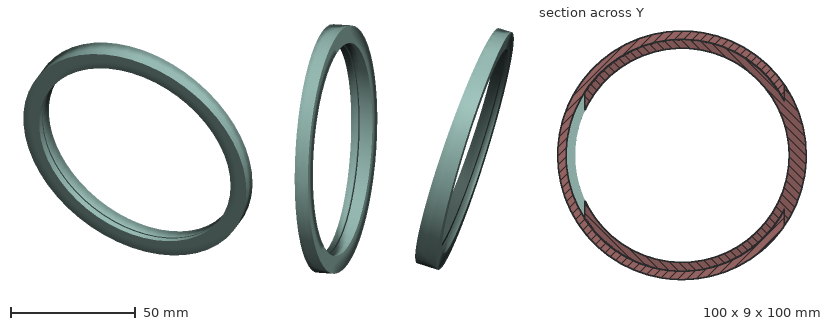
import cadquery as cq
import math

outer_diameter = 100.0
bore_diameter = 85.8

front_thickness = 5.0
total_thickness = 9.0
wedge_angle = 1.0

recess_depth = 2.0
floor_gap = 0.6
rim_height = recess_depth - floor_gap
rim_diameter = (outer_diameter + bore_diameter) / 2

outer_radius = outer_diameter / 2


def tilted_face(thick_side, angle):
    """Y at -X and at +X of a plane that descends from thick_side by angle."""
    return thick_side, thick_side - outer_diameter * math.tan(math.radians(angle))


def wedge_ring(outside, inside, front_face, back_face):
    """Ring of the given diameters between two faces, each given as its Y at -X and +X."""
    slab = (
        cq.Workplane("XY")
        .workplane(offset=-outer_radius)
        .moveTo(-outer_radius, front_face[0])
        .lineTo(outer_radius, front_face[1])
        .lineTo(outer_radius, back_face[1])
        .lineTo(-outer_radius, back_face[0])
        .close()
        .extrude(outer_diameter)
    )
    tube = (
        cq.Workplane("XZ")
        .circle(outside / 2)
        .circle(inside / 2)
        .extrude(-total_thickness)
    )
    return tube.intersect(slab)


flat_face = tilted_face(0.0, 0.0)
joint_face = tilted_face(front_thickness, wedge_angle)
back_face = tilted_face(total_thickness, 2 * wedge_angle)
recess_floor = tilted_face(front_thickness - recess_depth, wedge_angle)
rim_end = tilted_face(front_thickness - rim_height, wedge_angle)

recess = wedge_ring(rim_diameter, bore_diameter, recess_floor, joint_face)
front_ring = wedge_ring(outer_diameter, bore_diameter, flat_face, joint_face).cut(recess)

shoulder = wedge_ring(outer_diameter, rim_diameter, rim_end, joint_face)
back_ring = wedge_ring(outer_diameter, bore_diameter, rim_end, back_face).cut(shoulder)

result = cq.Compound.makeCompound([front_ring.val(), back_ring.val()])